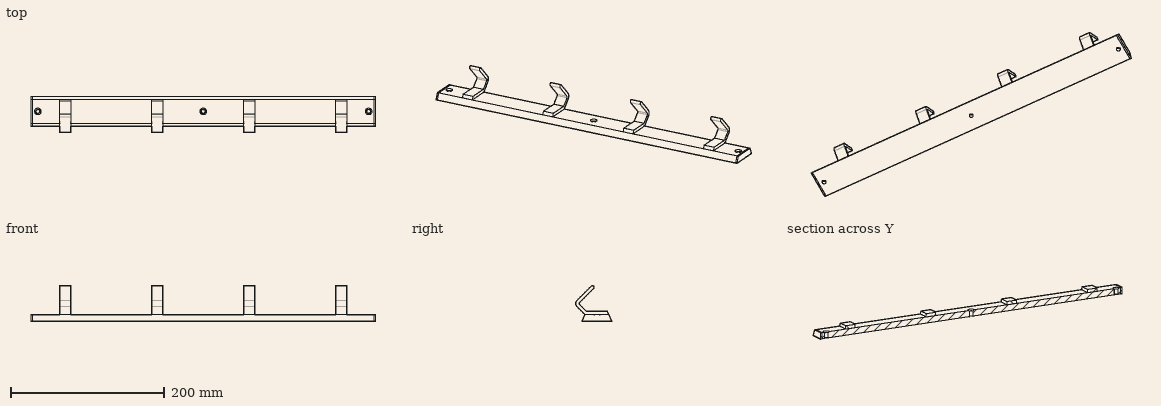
import cadquery as cq
import math

TOTAL_LENGTH = 450.0
RAIL_DEPTH = 39.0
RAIL_HEIGHT = 9.0
SIDE_INSET = 3.82
LIP_HEIGHT = 0.5
SIDE_SLOPE = SIDE_INSET / (RAIL_HEIGHT - LIP_HEIGHT)
CAP_THICKNESS = 2.0
RAIL_LENGTH = TOTAL_LENGTH - 2 * CAP_THICKNESS

HOOK_COUNT = 4
HOOK_SPACING = 120.0
HOOK_WIDTH = 15.0
STRIP_THICKNESS = 4.4
BEND_RADIUS = 6.0
HOOK_OVERHANG = 11.92
TOTAL_HEIGHT = 47.0
ARM_ANGLE = 45

SCREW_SPACING = 216.0
SCREW_HOLE_DIAMETER = 5.0
COUNTERSINK_DIAMETER = 8.5
COUNTERSINK_ANGLE = 90

SCREW_CENTERS = [(i * SCREW_SPACING, 0) for i in (-1, 0, 1)]
HOOK_CENTERS = [(i - (HOOK_COUNT - 1) / 2) * HOOK_SPACING for i in range(HOOK_COUNT)]


def make_profile_bar(start_x, length):
    """Bar along X with the tapered section shared by the rail and its end caps."""
    half_bottom = RAIL_DEPTH / 2
    half_top = half_bottom - SIDE_INSET
    return (
        cq.Workplane("YZ", origin=(start_x, 0, 0))
        .polyline([
            (-half_bottom, 0),
            (half_bottom, 0),
            (half_bottom, LIP_HEIGHT),
            (half_top, RAIL_HEIGHT),
            (-half_top, RAIL_HEIGHT),
            (-half_bottom, LIP_HEIGHT),
        ])
        .close()
        .extrude(length)
    )


def make_rail():
    """Bar between the end caps, with countersunk screw holes opening at its top."""
    bar = make_profile_bar(-RAIL_LENGTH / 2, RAIL_LENGTH)
    return (
        bar.faces(">Z")
        .workplane(origin=(0, 0, RAIL_HEIGHT))
        .pushPoints(SCREW_CENTERS)
        .cskHole(SCREW_HOLE_DIAMETER, COUNTERSINK_DIAMETER, COUNTERSINK_ANGLE)
    )


def make_end_cap(start_x):
    """Thin plate that closes one end of the rail."""
    return make_profile_bar(start_x, CAP_THICKNESS)


def make_hook(center_x):
    """Strip of constant thickness: flat foot, arm rising forward, round bend, arm rising back."""
    diagonal = math.sin(math.radians(ARM_ANGLE))
    inner_radius = BEND_RADIUS - STRIP_THICKNESS

    foot_top = RAIL_HEIGHT + STRIP_THICKNESS
    rail_top_edge = RAIL_DEPTH / 2 - SIDE_INSET
    foot_back_top = rail_top_edge - STRIP_THICKNESS * SIDE_SLOPE

    bend_front = -rail_top_edge - HOOK_OVERHANG
    bend_y = bend_front + BEND_RADIUS
    outer_rise = BEND_RADIUS * diagonal
    outer_tangent_y = bend_y - outer_rise
    lower_tangent_z = RAIL_HEIGHT - rail_top_edge - outer_tangent_y
    bend_z = lower_tangent_z + outer_rise
    upper_tangent_z = bend_z + outer_rise

    inner_rise = inner_radius * diagonal
    inner_tangent_y = bend_y - inner_rise

    tip_radius = STRIP_THICKNESS / 2
    tip_offset = tip_radius * diagonal
    tip_center_z = TOTAL_HEIGHT - tip_radius
    tip_outer_z = tip_center_z + tip_offset
    tip_outer_y = outer_tangent_y + tip_outer_z - upper_tangent_z
    tip_center_y = tip_outer_y + tip_offset

    inner_corner_y = -rail_top_edge + STRIP_THICKNESS * math.tan(math.radians(ARM_ANGLE / 2))

    profile = (
        cq.Workplane("YZ", origin=(center_x - HOOK_WIDTH / 2, 0, 0))
        .moveTo(rail_top_edge, RAIL_HEIGHT)
        .lineTo(-rail_top_edge, RAIL_HEIGHT)
        .lineTo(outer_tangent_y, lower_tangent_z)
        .threePointArc((bend_front, bend_z), (outer_tangent_y, upper_tangent_z))
        .lineTo(tip_outer_y, tip_outer_z)
        .threePointArc(
            (tip_center_y + tip_offset, tip_outer_z),
            (tip_center_y + tip_offset, tip_center_z - tip_offset),
        )
        .lineTo(inner_tangent_y, bend_z + inner_rise)
        .threePointArc((bend_y - inner_radius, bend_z), (inner_tangent_y, bend_z - inner_rise))
        .lineTo(inner_corner_y, foot_top)
        .lineTo(foot_back_top, foot_top)
        .close()
    )
    return profile.extrude(HOOK_WIDTH)


rail = make_rail()
end_caps = [make_end_cap(start_x) for start_x in (-TOTAL_LENGTH / 2, RAIL_LENGTH / 2)]
hooks = [make_hook(center_x) for center_x in HOOK_CENTERS]

result = cq.Compound.makeCompound([
    rail.val(),
    *[cap.val() for cap in end_caps],
    *[hook.val() for hook in hooks],
])